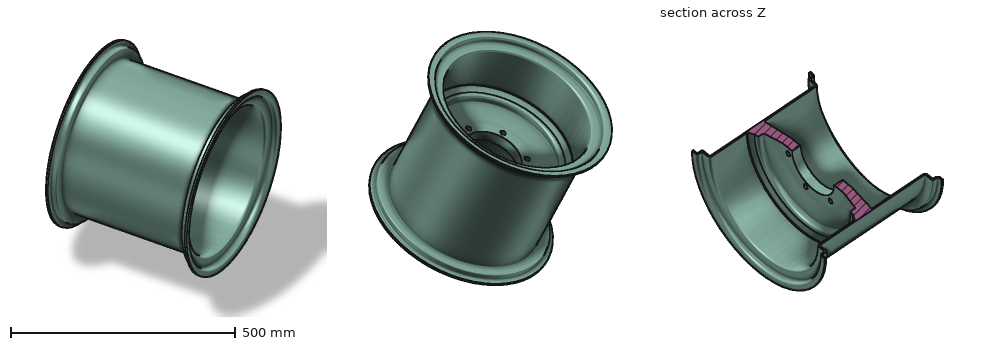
import cadquery as cq
import math


rim_width = 356.96
rim_radius = 220.07
sheet = 5.1
seat_radius = 207.6
barrel_radius = 182.5
web_depth = 20.3
seat_bend = 3.2
barrel_bend = 2.0

barrel_bore = barrel_radius - sheet
disc_front = 136.8
lip_bend = 7.7
cup_radius = 151.5
cup_corner = 2.5
cone_start = 154.5
cone_large_radius = cup_radius - cup_corner
plate_front = 165.0
plate_radius = 101.5
plate_fillet = 20.0
disc_thickness = barrel_bore - cup_radius
bore_radius = 69.5

weld_radial_leg = 14.5
weld_axial_leg = 10.3
weld_land = 2.5
weld_toe = 0.5

bolt_count = 6
bolt_circle_radius = 84.6
bolt_hole_diameter = 13.0
clocking_angle = 13.1

half_width = rim_width / 2
seat_bore = seat_radius - sheet
web_front = web_depth - sheet


def revolve_about_x(profile):
    return profile.close().revolve(360, (0, 0, 0), (1, 0, 0))


def bend(profile, start, corner, end):
    """Line to start, then a quarter-circle bend to end; corner is where the edges would meet."""
    centre = (start[0] + end[0] - corner[0], start[1] + end[1] - corner[1])
    radius = math.dist(centre, start)
    reach = math.dist(centre, corner)
    middle = tuple(c + (k - c) * radius / reach for c, k in zip(centre, corner))
    return profile.lineTo(*start).threePointArc(middle, end)


def make_rim_half():
    """Flange, bead seat, web and half of the barrel at the -X end."""
    edge = -half_width
    inner_flange_bend = seat_bend + sheet
    inner_barrel_bend = barrel_bend + sheet
    flange_back = edge + sheet
    web_outer = edge + web_depth
    web_inner = edge + web_front

    p = cq.Workplane("XY").moveTo(edge, rim_radius).lineTo(flange_back, rim_radius)
    p = bend(p, (flange_back, seat_radius + seat_bend), (flange_back, seat_radius),
             (flange_back + seat_bend, seat_radius))
    p = bend(p, (web_outer - seat_bend, seat_radius), (web_outer, seat_radius),
             (web_outer, seat_radius - seat_bend))
    p = bend(p, (web_outer, barrel_radius + barrel_bend), (web_outer, barrel_radius),
             (web_outer + barrel_bend, barrel_radius))
    p = p.lineTo(0, barrel_radius).lineTo(0, barrel_bore)
    p = bend(p, (web_inner + inner_barrel_bend, barrel_bore), (web_inner, barrel_bore),
             (web_inner, barrel_bore + inner_barrel_bend))
    p = bend(p, (web_inner, seat_bore - seat_bend), (web_inner, seat_bore),
             (web_inner - seat_bend, seat_bore))
    p = bend(p, (edge + inner_flange_bend, seat_bore), (edge, seat_bore),
             (edge, seat_bore + inner_flange_bend))
    return revolve_about_x(p)


def make_rim():
    half = make_rim_half()
    return half.union(half.mirror("YZ"))


def make_disc():
    """Thick dished disc of even thickness, its lip against the barrel and a bored hub plate."""
    lip = disc_front - half_width
    cone = cone_start - half_width
    plate = plate_front - half_width
    p = cq.Workplane("XY").moveTo(lip, barrel_bore)
    p = bend(p, (lip, cup_radius + lip_bend), (lip, cup_radius), (lip + lip_bend, cup_radius))
    p = bend(p, (cone - cup_corner, cup_radius), (cone, cup_radius), (cone, cone_large_radius))
    slope = math.atan2(plate - cone, cone_large_radius - plate_radius)
    tangent_length = plate_fillet * math.tan(slope / 2)
    fillet_start = (
        plate - tangent_length * math.sin(slope),
        plate_radius + tangent_length * math.cos(slope),
    )
    p = p.lineTo(*fillet_start).tangentArcPoint((plate, plate_radius - tangent_length), relative=False)
    p = p.lineTo(plate, bore_radius)
    p = p.lineTo(plate + disc_thickness, bore_radius)
    p = p.lineTo(plate + disc_thickness, plate_radius)
    p = p.lineTo(cone + disc_thickness, barrel_bore)
    return revolve_about_x(p)


def make_weld():
    """Conical weld bead in front of the disc lip, ending in a narrow toe on the barrel."""
    lip = disc_front - half_width
    toe = lip - weld_axial_leg
    p = cq.Workplane("XY").moveTo(toe, barrel_bore).lineTo(toe, barrel_bore - weld_toe)
    p = p.lineTo(toe + weld_land, barrel_bore - weld_toe)
    p = p.lineTo(lip, barrel_bore - weld_radial_leg).lineTo(lip, barrel_bore)
    return revolve_about_x(p)


def cut_bolt_holes(body):
    holes = (
        cq.Workplane("YZ", origin=(-half_width, 0, 0))
        .polarArray(bolt_circle_radius, 0, 360, bolt_count)
        .circle(bolt_hole_diameter / 2)
        .extrude(rim_width)
    )
    return body.cut(holes)


wheel = make_rim().union(make_disc()).union(make_weld())
wheel = cut_bolt_holes(wheel)
result = wheel.rotate((0, 0, 0), (1, 0, 0), -clocking_angle)